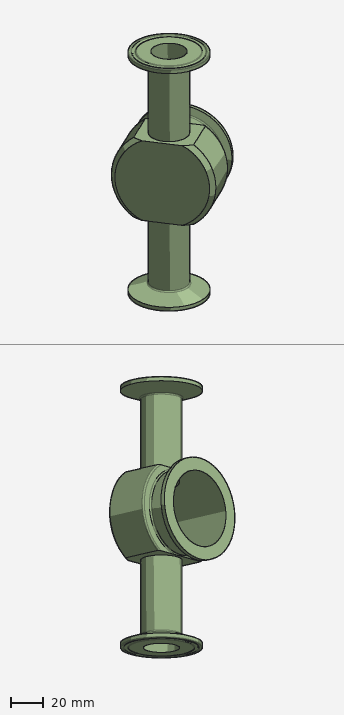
import cadquery as cq
import math

run_length = 165.1
tube_od = 25.5
tube_bore = 22.1
clamp_od = 50.4
groove_inner_radius = 20.3
groove_outer_radius = 23.1
groove_depth = 1.0
clamp_lip_radius = 0.5

body_od = 66.4
body_front = -15.5
body_back = 15.4
body_chamfer = 3.1
body_edge_radius = 1.0
body_height = 54.3

neck_od = 53.3
branch_bore = 47.5
branch_clamp_od = 63.9
overall_depth = 57.0
branch_face = overall_depth - clamp_od / 2
neck_base_radius = 1.0

clamp_rim = 2.8
clamp_angle = math.radians(20)
clamp_root_radius = 1.0

run_half = run_length / 2


def cylinder_y(diameter, start, end):
    """Cylinder on the Y axis between two Y positions."""
    plane = cq.Workplane("XZ", origin=(0, start, 0))
    return plane.circle(diameter / 2).extrude(start - end)


def clamp_cone_length(flange_od, pipe_od):
    """Axial length of the sloped back of a clamp flange."""
    return (flange_od - pipe_od) / 2 * math.tan(clamp_angle)


def clamp_root_setback():
    """Distance from the corner to each end of the fillet between cone and pipe."""
    return clamp_root_radius * math.tan(math.pi / 4 - clamp_angle / 2)


def add_clamp(profile, pipe_od, flange_od, face):
    """Continue a half profile from the pipe wall, round the flange, to the axis.

    Profile points are (radius, position along the axis).
    """
    pipe_radius = pipe_od / 2
    flange_radius = flange_od / 2
    corner = face - clamp_rim - clamp_cone_length(flange_od, pipe_od)
    setback = clamp_root_setback()
    arc_center = (pipe_radius + clamp_root_radius, corner - setback)
    cone_start = (
        pipe_radius + setback * math.cos(clamp_angle),
        corner + setback * math.sin(clamp_angle),
    )
    mid_angle = math.pi - (math.pi / 2 - clamp_angle) / 2
    arc_middle = (
        arc_center[0] + clamp_root_radius * math.cos(mid_angle),
        arc_center[1] + clamp_root_radius * math.sin(mid_angle),
    )
    return (
        profile.lineTo(pipe_radius, corner - setback)
        .threePointArc(arc_middle, cone_start)
        .lineTo(flange_radius, face - clamp_rim)
        .lineTo(flange_radius, face)
        .lineTo(0, face)
        .close()
    )


def gasket_groove():
    """Ring with a round bottom, sunk into the top end face."""
    middle_radius = (groove_inner_radius + groove_outer_radius) / 2
    return (
        cq.Workplane("XZ")
        .moveTo(groove_inner_radius, run_half)
        .threePointArc((middle_radius, run_half - groove_depth), (groove_outer_radius, run_half))
        .close()
        .revolve(360, (0, 0), (0, 1))
    )


def run_arm():
    """Upper half of the run tube, from the middle of the body to the end face."""
    profile = cq.Workplane("XZ").lineTo(tube_od / 2, 0)
    arm = add_clamp(profile, tube_od, clamp_od, run_half).revolve(360, (0, 0), (0, 1))
    grooved_arm = arm.cut(gasket_groove())
    return grooved_arm.faces(">Z").edges().fillet(clamp_lip_radius)


def branch_body():
    """Body, neck and branch flange, turned about the Y axis."""
    body_radius = body_od / 2
    neck_radius = neck_od / 2
    diagonal = 1 - math.sqrt(0.5)
    profile = (
        cq.Workplane("XY")
        .moveTo(0, body_front)
        .lineTo(body_radius - body_chamfer, body_front)
        .lineTo(body_radius, body_front + body_chamfer)
        .lineTo(body_radius, body_back - body_edge_radius)
        .threePointArc(
            (body_radius - body_edge_radius * diagonal, body_back - body_edge_radius * diagonal),
            (body_radius - body_edge_radius, body_back),
        )
        .lineTo(neck_radius + neck_base_radius, body_back)
        .threePointArc(
            (neck_radius + neck_base_radius * diagonal, body_back + neck_base_radius * diagonal),
            (neck_radius, body_back + neck_base_radius),
        )
    )
    profile = add_clamp(profile, neck_od, branch_clamp_od, branch_face)
    return profile.revolve(360, (0, 0), (0, 1))


def body_flats():
    """Material outside the top and bottom flats, up to the end of the neck fillet."""
    length = body_back + neck_base_radius - body_front
    middle = body_front + length / 2
    outside = cq.Workplane("XY").box(body_od, length, body_od)
    inside = cq.Workplane("XY").box(body_od, length, body_height)
    return outside.cut(inside).translate((0, middle, 0))


upper_arm = run_arm()
lower_arm = upper_arm.mirror("XY")
run_bore = cq.Workplane("XY").circle(tube_bore / 2).extrude(run_half, both=True)

branch_cavity = cylinder_y(branch_bore, -tube_bore / 2, branch_face)

result = (
    branch_body()
    .cut(body_flats())
    .union(upper_arm)
    .union(lower_arm)
    .cut(run_bore)
    .cut(branch_cavity)
)